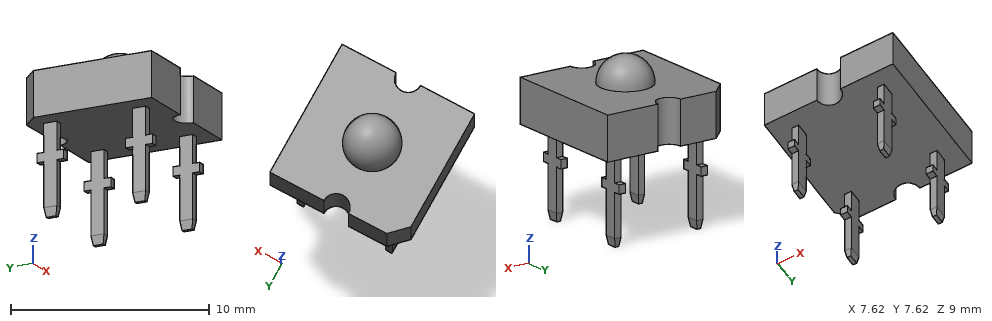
import cadquery as cq

total_height = 9.0
body_side = 7.62
body_height = 2.5
dome_radius = 1.5
leg_length = total_height - body_height - dome_radius

corner_chamfer = 0.9
notch_radius = 0.7

leg_pitch = 5.08
leg_thickness = 0.4
leg_width = 0.75
tip_height = 0.5
tip_thickness = 0.23
tip_width = 0.57

tab_width = 1.53
tab_height = 0.5
tab_drop = 1.54


def make_body():
    """Square block on Z = 0 with one cut corner and two round side notches."""
    block = cq.Workplane("XY").box(body_side, body_side, body_height, centered=(True, True, False))
    block = block.edges("|Z and <X and >Y").chamfer(corner_chamfer)
    notches = (
        cq.Workplane("XY")
        .pushPoints([(0, -body_side / 2), (0, body_side / 2)])
        .circle(notch_radius)
        .extrude(body_height)
    )
    return block.cut(notches)


def make_dome():
    """Hemispherical lens on the top face."""
    return (
        cq.Workplane("XZ", origin=(0, 0, body_height))
        .lineTo(dome_radius, 0)
        .radiusArc((0, dome_radius), -dome_radius)
        .close()
        .revolve(360, (0, 0), (0, 1))
    )


def make_leg():
    """Flat leg hanging from Z = 0, with a stand-off tab and a tapered tip."""
    shank_length = leg_length - tip_height
    shank = cq.Workplane("XY").rect(leg_thickness, leg_width).extrude(-shank_length)
    tip = (
        cq.Workplane("XY", origin=(0, 0, -leg_length))
        .rect(tip_thickness, tip_width)
        .workplane(offset=tip_height)
        .rect(leg_thickness, leg_width)
        .loft(ruled=True)
    )
    tab = (
        cq.Workplane("XY", origin=(0, 0, -tab_drop))
        .rect(leg_thickness, tab_width)
        .extrude(-tab_height)
    )
    return shank.union(tip).union(tab)


result = make_body().union(make_dome())
leg = make_leg()
for x in (-leg_pitch / 2, leg_pitch / 2):
    for y in (-leg_pitch / 2, leg_pitch / 2):
        result = result.union(leg.translate((x, y, 0)))